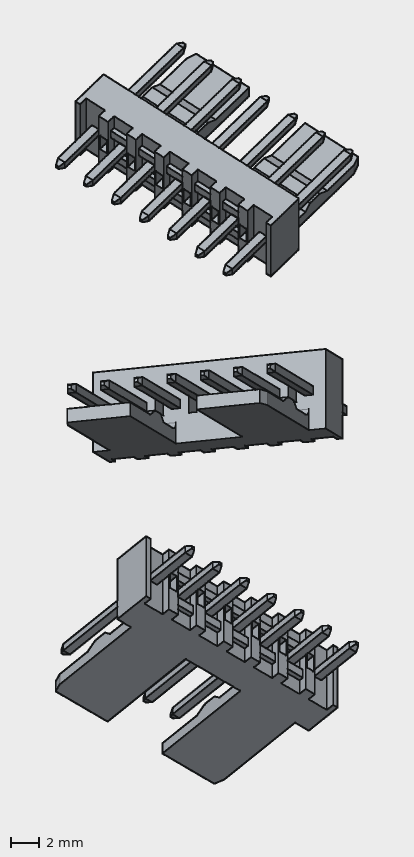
import cadquery as cq

PIN_COUNT = 7
PITCH = 2.54
PIN_WIDTH = 0.64
PIN_TIP_WIDTH = 0.26
PIN_TAPER = 0.46
PIN_FRONT_REACH = 3.6
PIN_BACK_REACH = 7.47

BODY_LENGTH = PIN_COUNT * PITCH
BODY_DEPTH = 3.15
BODY_HEIGHT = 5.8
MID_HEIGHT = BODY_HEIGHT / 2
PIN_HEIGHT = 2.86

CHANNEL_WIDTH = 1.69
CHANNEL_DEPTH = 0.68
BAR_HEIGHT = 0.78
BAR_THICKNESS = 0.36
BAR_GAP = 1.6

SLOT_WIDTH = 0.6
SLOT_HEIGHT = 1.5

TAB_LENGTH = 8.51
TAB_WIDTH = 2 * PITCH
TAB_THICKNESS = 1.0
TAB_CHAMFER_WIDTH = 0.25
TAB_CHAMFER_LENGTH = 0.77
ROOT_RADIUS = 0.55

BUMP_HEIGHT = 0.5
BUMP_START = 2.3
BUMP_TOP_START = 2.82
BUMP_TOP_END = 3.9
BUMP_END = 4.75

PIN_XS = [(i - (PIN_COUNT - 1) / 2) * PITCH for i in range(PIN_COUNT)]


def block(x_size, y_start, y_end, z_size, x_mid, z_mid):
    """Box centred on x_mid and z_mid, running from y_start to y_end."""
    y_size = y_end - y_start
    centre = (x_mid, y_start + y_size / 2, z_mid)
    return cq.Workplane("XY").box(x_size, y_size, z_size).translate(centre)


def make_body():
    body = block(BODY_LENGTH, 0, BODY_DEPTH, BODY_HEIGHT, 0, MID_HEIGHT)
    for x in PIN_XS:
        body = body.cut(block(CHANNEL_WIDTH, 0, CHANNEL_DEPTH, BODY_HEIGHT, x, MID_HEIGHT))
    bar_offset = (BAR_GAP + BAR_HEIGHT) / 2
    for x in PIN_XS[1:-1]:
        for side in (-1, 1):
            bar_z = MID_HEIGHT + side * bar_offset
            bar_front = CHANNEL_DEPTH - BAR_THICKNESS
            body = body.union(block(CHANNEL_WIDTH, bar_front, CHANNEL_DEPTH, BAR_HEIGHT, x, bar_z))
    for x in PIN_XS[:-1]:
        body = body.cut(block(SLOT_WIDTH, 0, BODY_DEPTH, SLOT_HEIGHT, x + PITCH / 2, MID_HEIGHT))
    return body


def make_pin_taper(y_base, direction, x):
    """Pyramid-shaped end that narrows along Y in the given direction."""
    base = cq.Plane(origin=(x, y_base, PIN_HEIGHT), xDir=(1, 0, 0), normal=(0, direction, 0))
    return (
        cq.Workplane(base)
        .rect(PIN_WIDTH, PIN_WIDTH)
        .workplane(offset=PIN_TAPER)
        .rect(PIN_TIP_WIDTH, PIN_TIP_WIDTH)
        .loft(ruled=True)
    )


def make_pin(x):
    shank_front = PIN_TAPER - PIN_FRONT_REACH
    shank_back = BODY_DEPTH + PIN_BACK_REACH - PIN_TAPER
    shank = block(PIN_WIDTH, shank_front, shank_back, PIN_WIDTH, x, PIN_HEIGHT)
    front_end = make_pin_taper(shank_front, -1, x)
    back_end = make_pin_taper(shank_back, 1, x)
    return shank.union(front_end).union(back_end)


def make_left_tab():
    """Latch tab from the first pin to the third, chamfered at its outer corner."""
    x_outer = PIN_XS[0]
    back = BODY_DEPTH
    bump_top = TAB_THICKNESS + BUMP_HEIGHT
    tip = back + TAB_LENGTH
    tab = (
        cq.Workplane("YZ", origin=(x_outer, 0, 0))
        .moveTo(back, 0)
        .lineTo(tip, 0)
        .lineTo(tip, TAB_THICKNESS)
        .lineTo(back + BUMP_END, TAB_THICKNESS)
        .lineTo(back + BUMP_TOP_END, bump_top)
        .lineTo(back + BUMP_TOP_START, bump_top)
        .lineTo(back + BUMP_START, TAB_THICKNESS)
        .lineTo(back + ROOT_RADIUS, TAB_THICKNESS)
        .radiusArc((back, TAB_THICKNESS + ROOT_RADIUS), ROOT_RADIUS)
        .close()
        .extrude(TAB_WIDTH)
    )
    corner = (
        cq.Workplane("XY")
        .moveTo(x_outer, tip)
        .lineTo(x_outer + TAB_CHAMFER_WIDTH, tip)
        .lineTo(x_outer, tip - TAB_CHAMFER_LENGTH)
        .close()
        .extrude(TAB_THICKNESS)
    )
    return tab.cut(corner)


left_tab = make_left_tab()
result = make_body().union(left_tab).union(left_tab.mirror("YZ"))
for pin_x in PIN_XS:
    result = result.union(make_pin(pin_x))